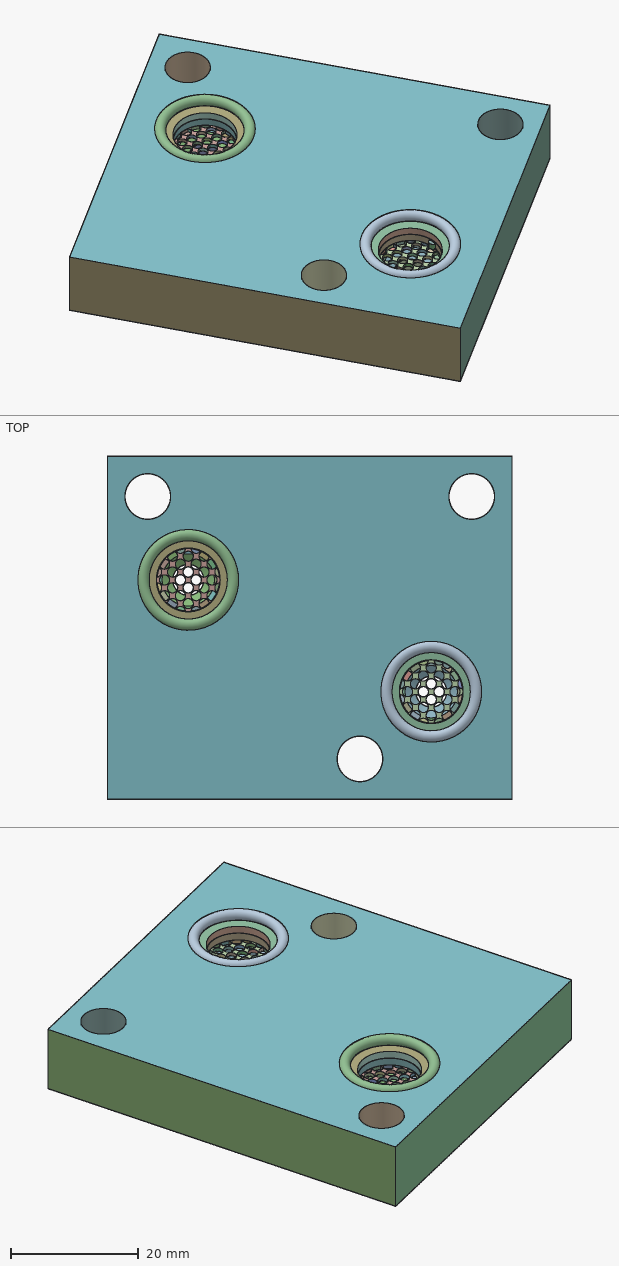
import cadquery as cq
import math

PLATE_LENGTH = 63.5
PLATE_WIDTH = 53.85
PLATE_HEIGHT = 11.3
OVERALL_HEIGHT = 11.9

MOUNT_HOLE_DIAMETER = 7.1
MOUNT_HOLE_X = 25.4
MOUNT_HOLE_Y = 20.6
FRONT_MOUNT_HOLE_X = 7.9
MOUNT_HOLE_CENTERS = [
    (-MOUNT_HOLE_X, MOUNT_HOLE_Y),
    (MOUNT_HOLE_X, MOUNT_HOLE_Y),
    (FRONT_MOUNT_HOLE_X, -MOUNT_HOLE_Y),
]

PORT_X = 19.05
LEFT_PORT_CENTER = (-PORT_X, 7.5)
RIGHT_PORT_CENTER = (PORT_X, -10.05)
PORT_CENTERS = [LEFT_PORT_CENTER, RIGHT_PORT_CENTER]

SEAL_SECTION = 1.85
SEAL_OUTER_DIAMETER = 15.95
SEAL_MEAN_RADIUS = (SEAL_OUTER_DIAMETER - SEAL_SECTION) / 2
SEAL_CENTER_Z = OVERALL_HEIGHT - SEAL_SECTION / 2

SEAT_DEPTH = 1.2
SEAT_FLOOR_Z = PLATE_HEIGHT - SEAT_DEPTH
BORE_DIAMETER = 10.05
BORE_DEPTH = 1.3
CUP_TOP_Z = SEAT_FLOOR_Z - BORE_DEPTH
CUP_DIAMETER = 9.9
CUP_DEPTH = 1.3
SCREEN_TOP_Z = CUP_TOP_Z - CUP_DEPTH
SCREEN_THICKNESS = 0.65
SCREEN_BOTTOM_Z = SCREEN_TOP_Z - SCREEN_THICKNESS
CONE_TOP_DIAMETER = 8.2
PASSAGE_DIAMETER = 4.8
DRILL_POINT_ANGLE = 118.0
CONE_HEIGHT = (CONE_TOP_DIAMETER - PASSAGE_DIAMETER) / 2 / math.tan(math.radians(DRILL_POINT_ANGLE / 2))
CONE_BOTTOM_Z = SCREEN_BOTTOM_Z - CONE_HEIGHT

SCREEN_FIELD_DIAMETER = 9.8
SCREEN_HOLE_DIAMETER = 1.6
SCREEN_GRID_STEP = 1.24

PIN_DIAMETER = 1.4
PIN_LENGTH = 1.1
PIN_RADIAL_POSITION = 5.0
PIN_ANGLE = 60.0
PIN_X = RIGHT_PORT_CENTER[0] + PIN_RADIAL_POSITION * math.cos(math.radians(PIN_ANGLE))
PIN_Y = RIGHT_PORT_CENTER[1] + PIN_RADIAL_POSITION * math.sin(math.radians(PIN_ANGLE))


def cylinder(diameter, bottom_z, top_z):
    """Upright cylinder on the Z axis."""
    return cq.Workplane("XY").workplane(offset=bottom_z).circle(diameter / 2).extrude(top_z - bottom_z)


def port_cavity():
    """Revolved space above and below the screen, centred on the Z axis."""
    seat = cylinder(2 * SEAL_MEAN_RADIUS, SEAT_FLOOR_Z, PLATE_HEIGHT)
    bore = cylinder(BORE_DIAMETER, CUP_TOP_Z, SEAT_FLOOR_Z)
    cup = cylinder(CUP_DIAMETER, SCREEN_TOP_Z, CUP_TOP_Z)
    passage = (
        cq.Workplane("XZ")
        .moveTo(0, 0)
        .lineTo(PASSAGE_DIAMETER / 2, 0)
        .lineTo(PASSAGE_DIAMETER / 2, CONE_BOTTOM_Z)
        .lineTo(CONE_TOP_DIAMETER / 2, SCREEN_BOTTOM_Z)
        .lineTo(0, SCREEN_BOTTOM_Z)
        .close()
        .revolve()
    )
    return seat.union(bore).union(cup).union(passage)


def screen_holes():
    """Holes through the screen, trimmed where they cross the edge of the field."""
    field_radius = SCREEN_FIELD_DIAMETER / 2
    grid_reach = math.ceil(field_radius / SCREEN_GRID_STEP)
    centers = []
    for column in range(-grid_reach, grid_reach + 1):
        for row in range(-grid_reach, grid_reach + 1):
            center = (column * SCREEN_GRID_STEP, row * SCREEN_GRID_STEP)
            inside = math.hypot(*center) < field_radius + SCREEN_HOLE_DIAMETER / 2
            if (column + row) % 2 == 1 and inside:
                centers.append(center)
    holes = (
        cq.Workplane("XY")
        .workplane(offset=SCREEN_BOTTOM_Z)
        .pushPoints(centers)
        .circle(SCREEN_HOLE_DIAMETER / 2)
        .extrude(SCREEN_THICKNESS)
    )
    return holes.intersect(cylinder(SCREEN_FIELD_DIAMETER, SCREEN_BOTTOM_Z, SCREEN_TOP_Z))


def seal_ring():
    """Round-section ring that stands proud of the plate and covers the rim of the seat."""
    return (
        cq.Workplane("XZ")
        .center(SEAL_MEAN_RADIUS, SEAL_CENTER_Z)
        .circle(SEAL_SECTION / 2)
        .revolve(360, (-SEAL_MEAN_RADIUS, 0), (-SEAL_MEAN_RADIUS, 1))
    )


def make_pin():
    """Plain round pin standing on the screen of the right port."""
    return cylinder(PIN_DIAMETER, SCREEN_TOP_Z, SCREEN_TOP_Z + PIN_LENGTH).translate((PIN_X, PIN_Y, 0))


def make_plate():
    """Plate with its mounting holes, screened ports, seal rings and pin recess."""
    body = cq.Workplane("XY").box(PLATE_LENGTH, PLATE_WIDTH, PLATE_HEIGHT, centered=(True, True, False))
    body = body.cut(
        cq.Workplane("XY")
        .pushPoints(MOUNT_HOLE_CENTERS)
        .circle(MOUNT_HOLE_DIAMETER / 2)
        .extrude(PLATE_HEIGHT)
    )
    cavity = port_cavity()
    holes = screen_holes()
    ring = seal_ring()
    for x, y in PORT_CENTERS:
        body = body.cut(cavity.translate((x, y, 0)))
        body = body.cut(holes.translate((x, y, 0)))
        body = body.union(ring.translate((x, y, 0)))
    return body.cut(make_pin())


plate = make_plate()
pin = make_pin()

result = cq.Compound.makeCompound([plate.solids().val(), pin.val()])